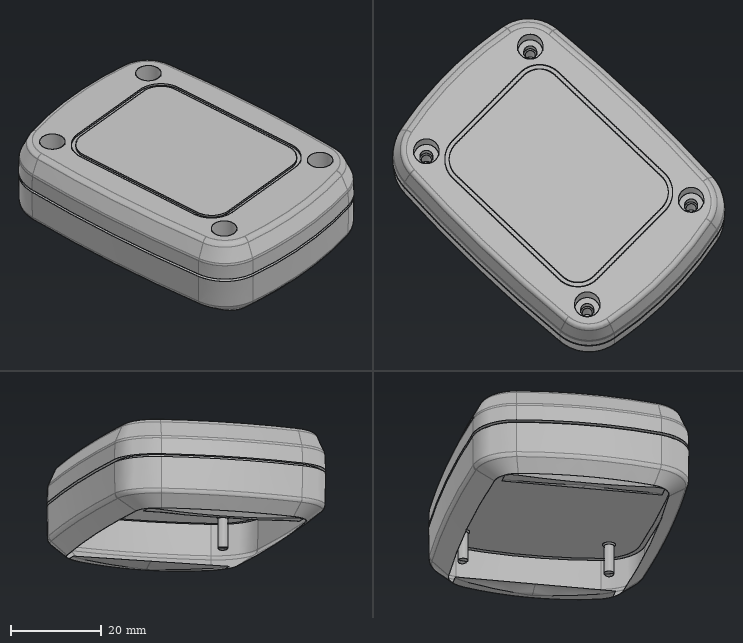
import cadquery as cq
import math

LENGTH = 69.5
WIDTH = 50.5
HALF_LENGTH = LENGTH / 2
HALF_WIDTH = WIDTH / 2
SIDE_RADIUS = 331.5
END_RADIUS = 84.1
CORNER_RADIUS = 10.0

COVER_HEIGHT = 9.05
COVER_KNEE = 4.5
SEAM_GAP = 0.6
BASE_KNEE = -7.7
BASE_BOTTOM = -10.9
FOOT_BOTTOM = -11.95

WALL_DRAFT_INSET = 0.15
COVER_TOP_INSET = 2.15
LIP_INSET = 1.1
END_CHAMFER_SLOPE = 1.0
SIDE_CHAMFER_SLOPE = 1.4
EDGE_FILLET = 1.45

FOOT_HALF_WIDTH = 18.1
SCOOP_START = 25.4
SCOOP_END = 29.2

GROOVE_LENGTH = 44.7
GROOVE_WIDTH = 33.4
GROOVE_CORNER = 6.0
GROOVE_INSET = 1.0
GROOVE_DEPTH = 0.5

SCREW_X = 24.8
SCREW_Y = 16.5
COUNTERBORE_DIAMETER = 5.6
COUNTERBORE_DEPTH = 6.05
CLEARANCE_DIAMETER = 2.9
PILOT_DIAMETER = 2.2
PILOT_FLOOR = -6.95
PILOT_FLOOR_END_INSET = 7.85
PILOT_FLOOR_SIDE_INSET = 5.9
PILOT_SLOPE_RUN = 4.2
PILOT_SLOPE_DROP = 1.75

SCREW_POINTS = [(x, y) for x in (-SCREW_X, SCREW_X) for y in (-SCREW_Y, SCREW_Y)]


def outline(z, end_inset, side_inset):
    """Closed plan wire at height z, moved inward at the ends and the sides."""
    half_length = HALF_LENGTH - end_inset
    half_width = HALF_WIDTH - side_inset
    side_radius = SIDE_RADIUS - side_inset
    end_radius = END_RADIUS - end_inset
    corner_radius = CORNER_RADIUS - max(end_inset, side_inset)

    side_centre = half_width - side_radius
    end_centre = half_length - end_radius

    to_side = side_radius - corner_radius
    to_end = end_radius - corner_radius
    apart = math.hypot(end_centre, side_centre)
    along = (to_side**2 - to_end**2 + apart**2) / (2 * apart)
    across = math.sqrt(to_side**2 - along**2)
    ux = end_centre / apart
    uy = -side_centre / apart
    corner_x = ux * along + uy * across
    corner_y = side_centre + uy * along - ux * across

    side_angle = math.atan2(corner_y - side_centre, corner_x)
    end_angle = math.atan2(corner_y, corner_x - end_centre)
    middle_angle = (side_angle + end_angle) / 2
    side_x = corner_x + corner_radius * math.cos(side_angle)
    side_y = corner_y + corner_radius * math.sin(side_angle)
    end_x = corner_x + corner_radius * math.cos(end_angle)
    end_y = corner_y + corner_radius * math.sin(end_angle)
    middle_x = corner_x + corner_radius * math.cos(middle_angle)
    middle_y = corner_y + corner_radius * math.sin(middle_angle)
    return (
        cq.Workplane("XY", origin=(0, 0, z))
        .moveTo(-side_x, side_y)
        .threePointArc((0, half_width), (side_x, side_y))
        .threePointArc((middle_x, middle_y), (end_x, end_y))
        .threePointArc((half_length, 0), (end_x, -end_y))
        .threePointArc((middle_x, -middle_y), (side_x, -side_y))
        .threePointArc((0, -half_width), (-side_x, -side_y))
        .threePointArc((-middle_x, -middle_y), (-end_x, -end_y))
        .threePointArc((-half_length, 0), (-end_x, end_y))
        .threePointArc((-middle_x, middle_y), (-side_x, side_y))
        .close()
        .val()
    )


def ruled_body(*wires):
    """Solid with straight walls from each outline to the next."""
    return cq.Workplane(cq.Solid.makeLoft(list(wires), True))


def ring_edges(z):
    """Selector for the edges that lie level at height z."""
    tolerance = 0.01
    span = LENGTH
    return cq.selectors.BoxSelector(
        (-span, -span, z - tolerance), (span, span, z + tolerance), boundingbox=True
    )


def panel_block(inset):
    """Rounded rectangle reaching GROOVE_DEPTH below the top of the cover."""
    return (
        cq.Workplane("XY", origin=(0, 0, COVER_HEIGHT - GROOVE_DEPTH))
        .rect(GROOVE_LENGTH - 2 * inset, GROOVE_WIDTH - 2 * inset)
        .extrude(GROOVE_DEPTH)
        .edges("|Z")
        .fillet(GROOVE_CORNER - inset)
    )


def make_cover():
    cover = ruled_body(
        outline(SEAM_GAP, 0, 0),
        outline(COVER_KNEE, WALL_DRAFT_INSET, WALL_DRAFT_INSET),
        outline(COVER_HEIGHT, COVER_TOP_INSET, COVER_TOP_INSET),
    )
    for z in (COVER_HEIGHT, COVER_KNEE):
        cover = cover.edges(ring_edges(z)).fillet(EDGE_FILLET)

    lip = ruled_body(
        outline(0, LIP_INSET, LIP_INSET),
        outline(SEAM_GAP, LIP_INSET, LIP_INSET),
    )
    cover = cover.union(lip)

    cover = cover.cut(panel_block(0).cut(panel_block(GROOVE_INSET)))
    return (
        cover.faces(">Z")
        .workplane(origin=(0, 0, COVER_HEIGHT))
        .pushPoints(SCREW_POINTS)
        .cboreHole(CLEARANCE_DIAMETER, COUNTERBORE_DIAMETER, COUNTERBORE_DEPTH)
    )


def chamfered_base(bottom):
    """Drafted base wall with its chamfer carried down to the given height."""
    drop = BASE_KNEE - bottom
    body = ruled_body(
        outline(0, 0, 0),
        outline(BASE_KNEE, WALL_DRAFT_INSET, WALL_DRAFT_INSET),
        outline(
            bottom,
            WALL_DRAFT_INSET + END_CHAMFER_SLOPE * drop,
            WALL_DRAFT_INSET + SIDE_CHAMFER_SLOPE * drop,
        ),
    )
    return body.edges(ring_edges(BASE_KNEE)).fillet(EDGE_FILLET)


def foot_crown():
    """Shallow crowned bar along X that holds both feet."""
    return (
        cq.Workplane("YZ")
        .moveTo(-FOOT_HALF_WIDTH, BASE_BOTTOM)
        .threePointArc((0, FOOT_BOTTOM), (FOOT_HALF_WIDTH, BASE_BOTTOM))
        .close()
        .extrude(HALF_LENGTH, both=True)
    )


def foot_scoop():
    """Space between the feet, with an S-shaped rise at both ends."""
    return (
        cq.Workplane("XZ")
        .moveTo(-SCOOP_START, BASE_BOTTOM)
        .lineTo(SCOOP_START, BASE_BOTTOM)
        .spline([(SCOOP_END, FOOT_BOTTOM)], tangents=[(1, 0), (1, 0)], includeCurrent=True)
        .lineTo(-SCOOP_END, FOOT_BOTTOM)
        .spline([(-SCOOP_START, BASE_BOTTOM)], tangents=[(1, 0), (1, 0)], includeCurrent=True)
        .close()
        .extrude(HALF_WIDTH, both=True)
    )


def pilot_holes():
    """Screw pilots whose flat floors fall away towards the ends and corners."""
    slope_foot = PILOT_FLOOR - PILOT_SLOPE_DROP
    floor_mound = ruled_body(
        outline(
            slope_foot,
            PILOT_FLOOR_END_INSET - PILOT_SLOPE_RUN,
            PILOT_FLOOR_SIDE_INSET - PILOT_SLOPE_RUN,
        ),
        outline(PILOT_FLOOR, PILOT_FLOOR_END_INSET, PILOT_FLOOR_SIDE_INSET),
    )
    drills = (
        cq.Workplane("XY")
        .pushPoints(SCREW_POINTS)
        .circle(PILOT_DIAMETER / 2)
        .extrude(slope_foot)
    )
    return drills.cut(floor_mound)


def pilot_mouths():
    """45-degree lead-ins that match the clearance holes at the top of the base."""
    mouth_radius = CLEARANCE_DIAMETER / 2
    pilot_radius = PILOT_DIAMETER / 2
    mouth = cq.Solid.makeCone(
        mouth_radius, pilot_radius, mouth_radius - pilot_radius, dir=cq.Vector(0, 0, -1)
    )
    return cq.Workplane("XY").pushPoints(SCREW_POINTS).eachpoint(mouth, combine=False)


def make_base():
    feet = chamfered_base(FOOT_BOTTOM).intersect(foot_crown()).cut(foot_scoop())
    base = chamfered_base(BASE_BOTTOM).union(feet)
    return base.cut(pilot_holes()).cut(pilot_mouths())


cover = make_cover()
base = make_base()
result = cq.Compound.makeCompound([cover.val(), base.val()])